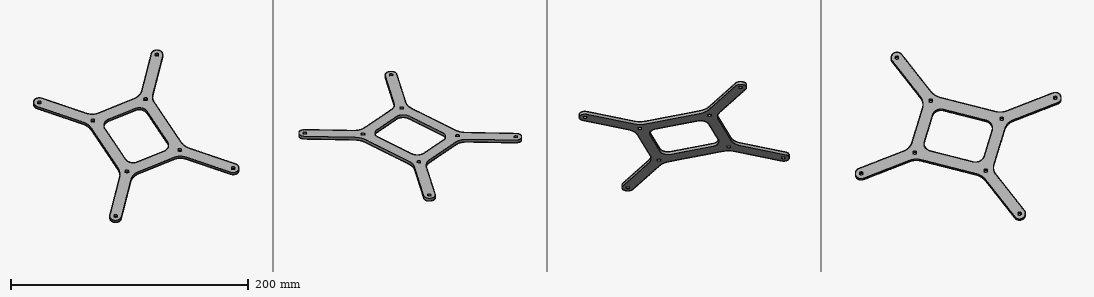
import cadquery as cq
import math

length = 148.5
width = 121.6
thickness = 3.0

arm_width = 10.0
tip_radius = arm_width / 2
tip_x = length / 2 - tip_radius
tip_y = width / 2 - tip_radius

frame_wall = 10.0
frame_length = 72.0
frame_width = 60.0
root_x = (frame_length - frame_wall) / 2
root_y = (frame_width - frame_wall) / 2
window_length = frame_length - 2 * frame_wall
window_width = frame_width - 2 * frame_wall
window_corner_radius = 7.4
long_side_blend_radius = 15.0
short_side_blend_radius = 12.0
selection_margin = 0.1

tip_hole_diameter = 3.0
frame_hole_diameter = 3.1


def corner_points(x, y):
    """The point (x, y) mirrored into all four quadrants."""
    return [(sx * x, sy * y) for sx in (-1, 1) for sy in (-1, 1)]


def arm(root, tip):
    """Round-ended bar from a frame corner to an arm tip."""
    run = tip[0] - root[0]
    rise = tip[1] - root[1]
    return (
        cq.Workplane("XY")
        .center((root[0] + tip[0]) / 2, (root[1] + tip[1]) / 2)
        .slot2D(math.hypot(run, rise) + arm_width, arm_width, math.degrees(math.atan2(rise, run)))
        .extrude(thickness)
    )


def frame_side_selector(side):
    """Select edges on the two frame sides facing along X or Y, away from the frame corners."""
    margin = selection_margin if side == "X" else -selection_margin
    reach_x = frame_length / 2 + margin
    reach_y = frame_width / 2 - margin
    return cq.selectors.BoxSelector((-reach_x, -reach_y, 0), (reach_x, reach_y, thickness))


def blended_outline():
    """Solid frame block with four arms and rounded inner junctions."""
    body = cq.Workplane("XY").rect(frame_length, frame_width).extrude(thickness)
    for root, tip in zip(corner_points(root_x, root_y), corner_points(tip_x, tip_y)):
        body = body.union(arm(root, tip))

    for side, radius in (("X", short_side_blend_radius), ("Y", long_side_blend_radius)):
        junctions = frame_side_selector(side)
        body = body.edges("|Z").edges(junctions).fillet(radius)
    return body


window = (
    cq.Workplane("XY")
    .rect(window_length, window_width)
    .extrude(thickness)
    .edges("|Z")
    .fillet(window_corner_radius)
)


def holes(x, y, diameter):
    """Four through holes, mirrored about both centre lines."""
    return cq.Workplane("XY").pushPoints(corner_points(x, y)).circle(diameter / 2).extrude(thickness)


result = (
    blended_outline()
    .cut(window)
    .cut(holes(tip_x, tip_y, tip_hole_diameter))
    .cut(holes(root_x, root_y, frame_hole_diameter))
)